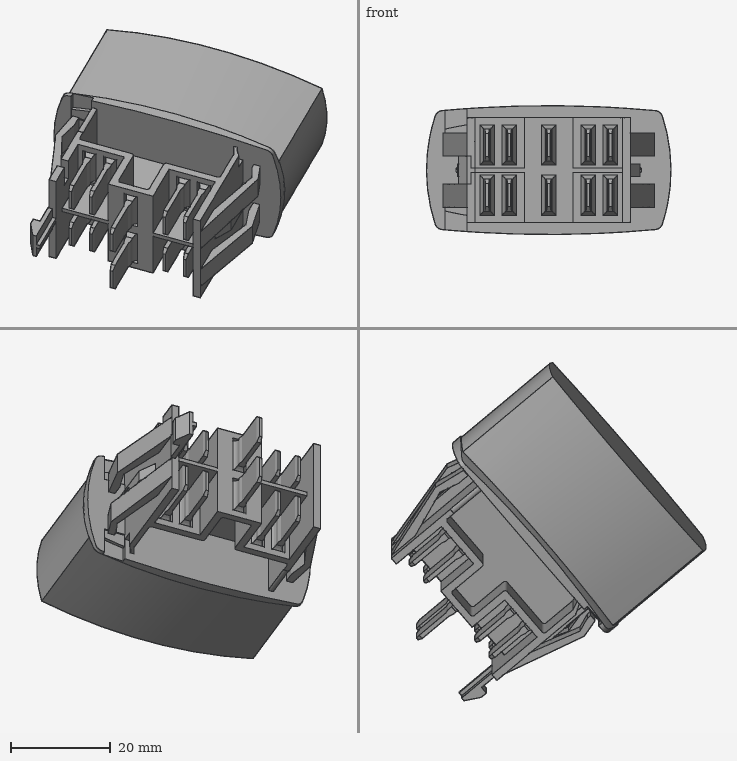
import cadquery as cq


overcut = 0.55

total_length = 56.9

cap_length = 25.3
cap_half_width = 24.3
cap_height = 21.0
cap_half_height = cap_height / 2
cap_corner_x = 23.2
cap_corner_z = 7.6

flange_width = 49.0
flange_half_width = flange_width / 2
flange_half_height = 12.9
flange_corner_x = 22.4
flange_corner_z = 11.85
flange_corner_radius = 1.7
flange_crown = 4.05
crown_radius_along = 165
crown_radius_across = 43.8

groove_outer_x = -20.75
groove_depth = 0.9
groove_step_depth = 0.3
groove_inner_z = 6.25

wall_outer_x = 16.35
wall_inner_x = 14.8
wall_end_y = -22.95
socket_half_height = cap_half_height
web_half = 0.45
cavity_half_width = 15.2
cavity_floor_y = -9.6
cavity_corner_radius = 0.55
cavity_taper_depth = 2.0
cavity_taper_inset = 0.85
shelf_y = -11.1
core_half_width = 4.85
core_end_y = -19.7
well_half_width = 3.3
well_floor_y = -18.3
wall_lead_in_inset = 1.15
wall_lead_in_start = 0.4
wall_lead_in_length = 2.2
arched_edge_length = 7.45
arched_edge_sag = 0.15

notch_start_y = -16.4
notch_end_y = -18.5
notch_floor_z = 5.7

arm_inner_z = 2.8
arm_outer_z = 7.45
arm_tip_inner_x = 18.85
arm_tip_outer_x = 20.2
arm_bend_inner_x = 19.85
arm_bend_outer_x = 21.2
short_arm_tip_y = -0.4
short_arm_tip_bend_y = -1.3
short_arm_bend_y = -4.1
short_arm_root_y = -15.95
long_arm_tip_y = -0.7
long_arm_tip_bend_y = -3.1
long_arm_bend_y = -7.15
long_arm_root_y = -16.7

lug_outer_x = 18.3
lug_half_height = 1.25
lug_slope_y = -11.3
lug_end_y = -14.95
bead_x = 17.9
bead_radius = 0.5
bead_length = 4.85
bead_tip_radius = 0.7
bead_tip_length = 6.4

latch_end_y = cap_length - total_length
latch_start_y = -22.4
latch_outer_x = -16.55
latch_inner_x = -15.6
latch_hook_x = -18.05
latch_hook_y = -27.15
latch_slope_y = -28.5

side_terminal_xs = [-12.35, -7.9, 7.9, 12.35]
recess_gap = 2.05
recess_width = 2.9
recess_height = 8.0
terminal_z = (recess_gap + recess_height) / 2
recess_depth = 1.0
flare_width = 1.75
flare_height = 6.9
neck_width = 1.35
neck_start = 0.7
neck_end = 1.6
blade_start = 2.4
blade_width = 0.9
blade_height = 6.45
blade_length = 10.3
tip_chamfer = 0.9
tip_width = 0.55


def block(x0, x1, y0, y1, z0, z1):
    """Axis-aligned box between two opposite corners."""
    return cq.Workplane("XY").box(x1 - x0, y1 - y0, z1 - z0, centered=False).translate((x0, y0, z0))


def plan_prism(points, z0, z1):
    """Polygon in the XY plane, extruded from z0 to z1."""
    return cq.Workplane("XY").workplane(offset=z0).polyline(points).close().extrude(z1 - z0)


def half_turn(solid):
    """Copy turned 180 degrees about the Y axis."""
    return solid.rotate((0, 0, 0), (0, 1, 0), 180)


def bulged_prism(half_width, half_height, corner_x, corner_z, length):
    """Rectangle with four bowed sides, extruded from Y = 0 towards +Y."""
    return (
        cq.Workplane("XZ")
        .moveTo(-corner_x, corner_z)
        .threePointArc((0, half_height), (corner_x, corner_z))
        .threePointArc((half_width, 0), (corner_x, -corner_z))
        .threePointArc((0, -half_height), (-corner_x, -corner_z))
        .threePointArc((-half_width, 0), (-corner_x, corner_z))
        .close()
        .extrude(-length)
    )


def make_flange():
    """Bowed plate whose upper face is crowned in both directions."""
    plate = bulged_prism(
        flange_half_width, flange_half_height, flange_corner_x, flange_corner_z, flange_crown
    )
    plate = plate.edges("|Y").fillet(flange_corner_radius)
    reach = flange_half_width + overcut
    drop = crown_radius_along - (crown_radius_along**2 - reach**2) ** 0.5
    axis_y = flange_crown - crown_radius_across
    crown = (
        cq.Workplane("XY")
        .moveTo(-reach, axis_y)
        .lineTo(-reach, flange_crown - drop)
        .threePointArc((0, flange_crown), (reach, flange_crown - drop))
        .lineTo(reach, axis_y)
        .close()
        .revolve(360, (-reach, axis_y, 0), (reach, axis_y, 0))
    )
    return plate.intersect(crown)


def cut_groove(solid, cap):
    """Deep groove outside the cap outline, shallow step inside it."""
    for side in (1, -1):
        z0, z1 = sorted((side * groove_inner_z, side * (flange_half_height + overcut)))
        deep = block(groove_outer_x, -wall_outer_x, 0, groove_depth, z0, z1)
        step = block(groove_outer_x, -wall_outer_x, 0, groove_step_depth, z0, z1)
        solid = solid.cut(deep.cut(cap)).cut(step)
    return solid


def upper_cavity():
    """T-shaped hollow open to +Z, narrowed at the flange on its right side."""
    outline = [
        (-cavity_half_width, 0),
        (-cavity_half_width, cavity_floor_y),
        (-well_half_width, cavity_floor_y),
        (-well_half_width, well_floor_y),
        (well_half_width, well_floor_y),
        (well_half_width, cavity_floor_y),
        (cavity_half_width, cavity_floor_y),
        (cavity_half_width, -cavity_taper_depth),
        (cavity_half_width - cavity_taper_inset, 0),
    ]
    cavity = plan_prism(outline, web_half, socket_half_height + overcut)
    floor_edges = cq.selectors.BoxSelector(
        (-wall_outer_x, cavity_floor_y + overcut, 0), (wall_outer_x, well_floor_y - overcut, wall_outer_x)
    )
    return cavity.edges("|Z").edges(floor_edges).fillet(cavity_corner_radius)


def arched_edge_waste():
    """Material above the shallow arch along the upper edge of the left wall."""
    height = socket_half_height
    low = height - arched_edge_sag
    return (
        cq.Workplane("XZ")
        .moveTo(-wall_outer_x, low)
        .threePointArc(((-wall_outer_x - cavity_half_width) / 2, height), (-cavity_half_width, low))
        .lineTo(-cavity_half_width, height + overcut)
        .lineTo(-wall_outer_x, height + overcut)
        .close()
        .extrude(arched_edge_length)
    )


def make_socket():
    """Walled box with a middle web, a central core and four terminal bays."""
    height = socket_half_height
    socket = block(-wall_outer_x, wall_outer_x, wall_end_y, 0, -height, height)
    socket = socket.cut(block(-wall_inner_x, wall_inner_x, wall_end_y, core_end_y, -height, height))
    for x0, x1 in ((-wall_inner_x, -core_half_width), (core_half_width, wall_inner_x)):
        for z0, z1 in ((-height, -web_half), (web_half, height)):
            socket = socket.cut(block(x0, x1, core_end_y, shelf_y, z0, z1))
    cavity = upper_cavity()
    lead_in = plan_prism(
        [
            (wall_outer_x, 0),
            (wall_outer_x - wall_lead_in_inset, 0),
            (wall_outer_x - wall_lead_in_inset, -wall_lead_in_start),
            (wall_outer_x, -wall_lead_in_length),
        ],
        arm_outer_z,
        height,
    )
    arch = arched_edge_waste()
    for tool in (cavity, lead_in, arch):
        socket = socket.cut(tool).cut(half_turn(tool))
    return socket.cut(
        block(-wall_outer_x, -wall_inner_x, notch_end_y, notch_start_y, notch_floor_z, height)
    )


def spring_arm(tip_y, tip_bend_y, bend_y, root_y, z0, z1):
    """Bent spring arm on the right wall."""
    return plan_prism(
        [
            (arm_tip_inner_x, tip_y),
            (arm_tip_outer_x, tip_y),
            (arm_bend_outer_x, bend_y),
            (wall_outer_x, wall_end_y),
            (wall_outer_x, root_y),
            (arm_bend_inner_x, bend_y),
            (arm_tip_inner_x, tip_bend_y),
        ],
        z0,
        z1,
    )


def wall_fittings():
    """Two spring arms and the beaded lug of the right wall."""
    short_arm = spring_arm(
        short_arm_tip_y,
        short_arm_tip_bend_y,
        short_arm_bend_y,
        short_arm_root_y,
        arm_inner_z,
        arm_outer_z,
    )
    long_arm = spring_arm(
        long_arm_tip_y,
        long_arm_tip_bend_y,
        long_arm_bend_y,
        long_arm_root_y,
        -arm_outer_z,
        -arm_inner_z,
    )
    lug = plan_prism(
        [(wall_outer_x, 0), (lug_outer_x, 0), (lug_outer_x, lug_slope_y), (wall_outer_x, lug_end_y)],
        -lug_half_height,
        lug_half_height,
    )
    axis = cq.Workplane("XZ").center(bead_x, 0)
    bead = axis.circle(bead_radius).extrude(bead_length)
    bead_tip = (
        axis.workplane(offset=bead_length).circle(bead_tip_radius).extrude(bead_tip_length - bead_length)
    )
    return lug.union(bead).union(bead_tip).union(short_arm).union(long_arm)


def make_latch():
    """Hooked tongue, ramped at its start, with a stiffening rib on its inner face."""
    tongue = plan_prism(
        [
            (latch_inner_x, latch_start_y),
            (-wall_outer_x, latch_start_y),
            (latch_outer_x, wall_end_y),
            (latch_outer_x, latch_hook_y),
            (latch_hook_x, latch_hook_y),
            (latch_hook_x, latch_slope_y),
            (-wall_outer_x, latch_end_y),
            (latch_inner_x, latch_end_y),
        ],
        -arm_inner_z,
        arm_inner_z,
    )
    rib = block(latch_inner_x, -wall_inner_x, latch_end_y, wall_end_y, -web_half, web_half)
    return tongue.union(rib)


def frustum(size_a, size_b, start, length):
    """Rectangular loft pointing to -Y, starting at a depth below the seat face."""
    return (
        cq.Workplane("XZ", origin=(0, -start, 0))
        .rect(*size_a)
        .workplane(offset=length)
        .rect(*size_b)
        .loft(ruled=True)
    )


def make_terminal():
    """Flared root and tapered blade, with its seat face at Y = 0."""
    root = frustum(
        (recess_width, recess_height), (flare_width, flare_height), -recess_depth, recess_depth
    )
    flare = frustum((flare_width, flare_height), (neck_width, blade_height), 0, neck_start)
    right_edge = [
        (neck_width / 2, -neck_start),
        (neck_width / 2, -neck_end),
        (blade_width / 2, -blade_start),
        (blade_width / 2, tip_chamfer - blade_length),
        (tip_width / 2, -blade_length),
    ]
    left_edge = [(-x, y) for x, y in reversed(right_edge)]
    blade = plan_prism(right_edge + left_edge, -blade_height / 2, blade_height / 2)
    side_profile = (
        cq.Workplane("XY")
        .box(neck_width, blade_length, blade_height)
        .edges("|X and <Y")
        .chamfer(tip_chamfer)
        .translate((0, -blade_length / 2, 0))
    )
    return root.union(flare).union(blade.intersect(side_profile))


cap = bulged_prism(cap_half_width, cap_half_height, cap_corner_x, cap_corner_z, cap_length)
result = cut_groove(cap.union(make_flange()), cap)
result = result.union(make_socket()).union(make_latch())

fittings = wall_fittings()
result = result.union(fittings).union(half_turn(fittings))

terminal = make_terminal()
recess = block(
    -recess_width / 2, recess_width / 2, 0, recess_depth, -recess_height / 2, recess_height / 2
)
seats = [(x, shelf_y) for x in side_terminal_xs] + [(0, core_end_y)]
for seat_x, seat_y in seats:
    for seat_z in (-terminal_z, terminal_z):
        seat = (seat_x, seat_y, seat_z)
        result = result.cut(recess.translate(seat)).union(terminal.translate(seat))